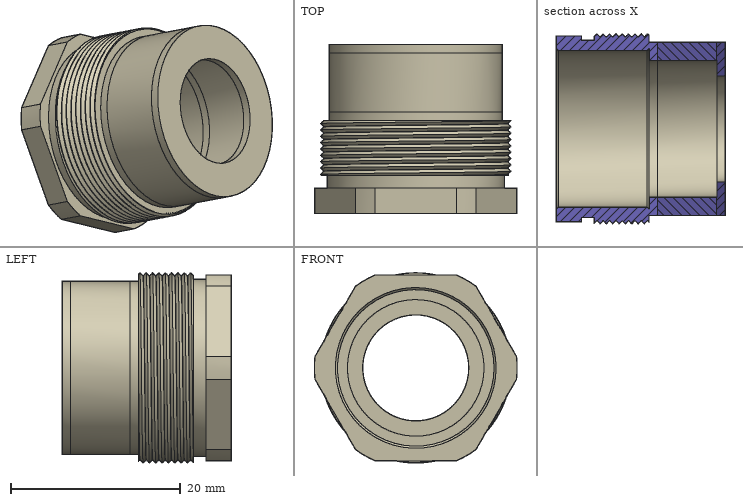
import cadquery as cq
import math

TOTAL_LENGTH = 20.0

HEX_LENGTH = 3.0
HEX_ACROSS_FLATS = 22.0
HEX_CORNER_DIAMETER = 24.0
FLAT_TO_TOP_ANGLE = 30

NECK_DIAMETER = 21.0
THREAD_START = 4.5
THREAD_END = 11.0
THREAD_DIAMETER = 22.5
THREAD_PITCH = 0.75
ROOT_FLAT = 0.04

BARREL_DIAMETER = 20.5
COLLAR_LENGTH = 1.0
END_RING_LENGTH = 1.0
SLEEVE_START = THREAD_END + COLLAR_LENGTH
SLEEVE_END = TOTAL_LENGTH - END_RING_LENGTH

MOUTH_DIAMETER = 18.5
MOUTH_BEVEL = 0.25
MOUTH_DEPTH = THREAD_END
MIDDLE_BORE_DIAMETER = 16.15
THROUGH_HOLE_DIAMETER = 12.5


def plane_at(y):
    """Plane across the axis at the given Y, with its normal along +Y."""
    return cq.Workplane(cq.Plane(origin=(0, y, 0), xDir=(1, 0, 0), normal=(0, 1, 0)))


def cylinder(diameter, y_start, y_end):
    return plane_at(y_start).circle(diameter / 2).extrude(y_end - y_start)


def tube(outer_diameter, inner_diameter, y_start, y_end):
    outer = cylinder(outer_diameter, y_start, y_end)
    return outer.cut(cylinder(inner_diameter, y_start, y_end))


def make_hex_flange():
    """Hexagon with flats at top and bottom and its corners turned round."""
    hexagon = plane_at(0).polygon(6, HEX_ACROSS_FLATS, circumscribed=True).extrude(HEX_LENGTH)
    hexagon = hexagon.rotate((0, 0, 0), (0, 1, 0), FLAT_TO_TOP_ANGLE)
    return hexagon.intersect(cylinder(HEX_CORNER_DIAMETER, 0, HEX_LENGTH))


def make_thread():
    """Right-hand V thread, with a crest on the +X side at THREAD_END, cut square at both ends."""
    crest_radius = THREAD_DIAMETER / 2
    root_radius = crest_radius - (THREAD_PITCH - ROOT_FLAT) / 2
    half_base = (THREAD_PITCH - ROOT_FLAT / 2) / 2
    base_radius = crest_radius - half_base

    turns = math.ceil((THREAD_END - THREAD_START) / THREAD_PITCH) + 2
    last_crest = THREAD_END + THREAD_PITCH
    first_crest = last_crest - turns * THREAD_PITCH

    helix = cq.Wire.makeHelix(THREAD_PITCH, turns * THREAD_PITCH, root_radius)
    profile = (
        cq.Workplane("XZ")
        .moveTo(base_radius, -half_base)
        .lineTo(crest_radius, 0)
        .lineTo(base_radius, half_base)
        .close()
    )
    ridge = profile.sweep(cq.Workplane(obj=helix), isFrenet=True)
    ridge = ridge.rotate((0, 0, 0), (1, 0, 0), -90).translate((0, first_crest, 0))

    core = cylinder(2 * root_radius, first_crest - THREAD_PITCH, last_crest + THREAD_PITCH)
    envelope = cylinder(HEX_CORNER_DIAMETER, THREAD_START, THREAD_END)
    return core.union(ridge).intersect(envelope)


def make_bore():
    """Stepped bore: a wide mouth bevelled outward at both ends, then the narrower middle bore."""
    mouth_radius = MOUTH_DIAMETER / 2
    bevel_radius = mouth_radius + MOUTH_BEVEL
    middle_radius = MIDDLE_BORE_DIAMETER / 2
    half_section = (
        cq.Workplane("XY")
        .lineTo(bevel_radius, 0)
        .lineTo(mouth_radius, MOUTH_BEVEL)
        .lineTo(mouth_radius, MOUTH_DEPTH - MOUTH_BEVEL)
        .lineTo(bevel_radius, MOUTH_DEPTH)
        .lineTo(middle_radius, MOUTH_DEPTH)
        .lineTo(middle_radius, SLEEVE_START)
        .lineTo(0, SLEEVE_START)
        .close()
    )
    return half_section.revolve(360, (0, 0, 0), (0, 1, 0))


def make_housing():
    """Hexagon, neck, thread and collar in one piece."""
    housing = make_hex_flange()
    housing = housing.union(cylinder(NECK_DIAMETER, HEX_LENGTH, THREAD_START))
    housing = housing.union(make_thread())
    housing = housing.union(cylinder(BARREL_DIAMETER, THREAD_END, SLEEVE_START))
    return housing.cut(make_bore())


def make_sleeve():
    return tube(BARREL_DIAMETER, MIDDLE_BORE_DIAMETER, SLEEVE_START, SLEEVE_END)


def make_end_ring():
    return tube(BARREL_DIAMETER, THROUGH_HOLE_DIAMETER, SLEEVE_END, TOTAL_LENGTH)


housing = make_housing()
sleeve = make_sleeve()
end_ring = make_end_ring()

result = cq.Compound.makeCompound(
    [*housing.solids().vals(), *sleeve.solids().vals(), *end_ring.solids().vals()]
)